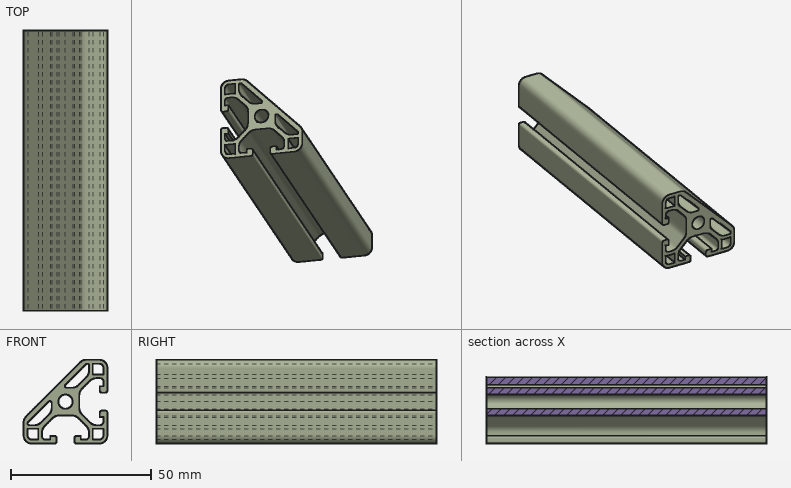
import cadquery as cq
import math

size = 30.0
length = 100.0
half = size / 2
corner_radius = 3.0
bore_diameter = 5.0

slant_offset = 8.8
slant_wall = 2.0

outer_wall = 1.5
web = 1.4
rib_thickness = 1.85

slot_half_opening = 3.15
slot_half_width = 8.35
slot_floor = 4.98
lip_depth = 2.8
lip_root = 5.5

rib_radius = 3.4
slot_corner_radius = 1.15
lip_radius = 0.85
pocket_radius = 0.57

cell_radius = corner_radius - outer_wall
inner_face = half - outer_wall
lip_inner = half - lip_depth
cell_near = slot_half_width + web
rib_shift = rib_thickness / math.sqrt(2)
slant_inner = slant_offset - slant_wall * math.sqrt(2)
overshoot = 1.0
box_margin = 0.1


def unit_vector(start, end):
    distance = math.dist(start, end)
    return ((end[0] - start[0]) / distance, (end[1] - start[1]) / distance)


def corner_arc(before, corner, after, radius):
    """Start, middle and end points of the arc that rounds one corner."""
    to_before = unit_vector(corner, before)
    to_after = unit_vector(corner, after)
    cosine = to_before[0] * to_after[0] + to_before[1] * to_after[1]
    half_angle = math.acos(cosine) / 2
    tangent = radius / math.tan(half_angle)
    middle = radius / math.sin(half_angle) - radius
    bisector = unit_vector((0, 0), (to_before[0] + to_after[0], to_before[1] + to_after[1]))
    return [
        (corner[0] + distance * direction[0], corner[1] + distance * direction[1])
        for distance, direction in ((tangent, to_before), (middle, bisector), (tangent, to_after))
    ]


def prism(corners):
    """Extrude along Y a closed outline of (x, z, rounding radius) corners; radius 0 leaves a sharp corner."""
    points = [(x, z) for x, z, _ in corners]
    sketch = None
    for index, (x, z, radius) in enumerate(corners):
        before = points[index - 1]
        after = points[(index + 1) % len(points)]
        arc = corner_arc(before, (x, z), after, radius) if radius else [(x, z)]
        if sketch is None:
            sketch = cq.Workplane("XZ").moveTo(*arc[0])
        else:
            sketch = sketch.lineTo(*arc[0])
        if radius:
            sketch = sketch.threePointArc(arc[1], arc[2])
    return sketch.close().extrude(-length)


def swap_sides(corners):
    """Reflect an outline in the part's plane of symmetry, z = -x."""
    return [(-z, -x, radius) for x, z, radius in corners]


def body_outline():
    """Square section with its upper-left half cut away along the slanted face."""
    return [
        (half, -half, corner_radius),
        (half, half, corner_radius),
        (half - slant_offset, half, corner_radius),
        (-half, slant_offset - half, corner_radius),
        (-half, -half, corner_radius),
    ]


def slot_outline():
    """T-slot opening toward +X."""
    upper = [
        (slot_floor, slot_floor - rib_shift, rib_radius),
        (slot_half_width + rib_shift, slot_half_width, rib_radius),
        (inner_face, slot_half_width, slot_corner_radius),
        (inner_face, lip_root, 0),
        (lip_inner, lip_root, 0),
        (lip_inner, slot_half_opening, 0),
        (half + overshoot, slot_half_opening, 0),
    ]
    lower = [(x, -z, radius) for x, z, radius in reversed(upper)]
    return upper + lower


def pocket_outline():
    """Closed pocket between the upper rib and the slanted wall."""
    return [
        (slot_floor - rib_shift, slot_floor, rib_radius),
        (slot_half_width, slot_half_width + rib_shift, rib_radius),
        (slot_half_width, inner_face, pocket_radius),
        (inner_face - slant_inner, inner_face, pocket_radius),
        (slot_floor - slant_inner, slot_floor, pocket_radius),
    ]


def cell_outline(x_side, z_side):
    """Square corner cell, rounded only toward the outer corner of the section."""
    return [
        (x_side * cell_near, z_side * cell_near, 0),
        (x_side * inner_face, z_side * cell_near, 0),
        (x_side * inner_face, z_side * inner_face, cell_radius),
        (x_side * cell_near, z_side * inner_face, 0),
    ]


def round_lips(body):
    """Round the free end of every slot lip."""
    for depth in (half, lip_inner):
        for side in (slot_half_opening, -slot_half_opening):
            for x, z in ((depth, side), (side, -depth)):
                low = (x - box_margin, -overshoot, z - box_margin)
                high = (x + box_margin, length + overshoot, z + box_margin)
                lip_edge = cq.selectors.BoxSelector(low, high)
                body = body.edges(lip_edge).edges("|Y").fillet(lip_radius)
    return body


body = prism(body_outline())
for opening in (slot_outline(), pocket_outline()):
    body = body.cut(prism(opening)).cut(prism(swap_sides(opening)))
for x_side, z_side in ((1, 1), (1, -1), (-1, -1)):
    body = body.cut(prism(cell_outline(x_side, z_side)))
bore = cq.Workplane("XZ").circle(bore_diameter / 2).extrude(-length)
result = round_lips(body.cut(bore))